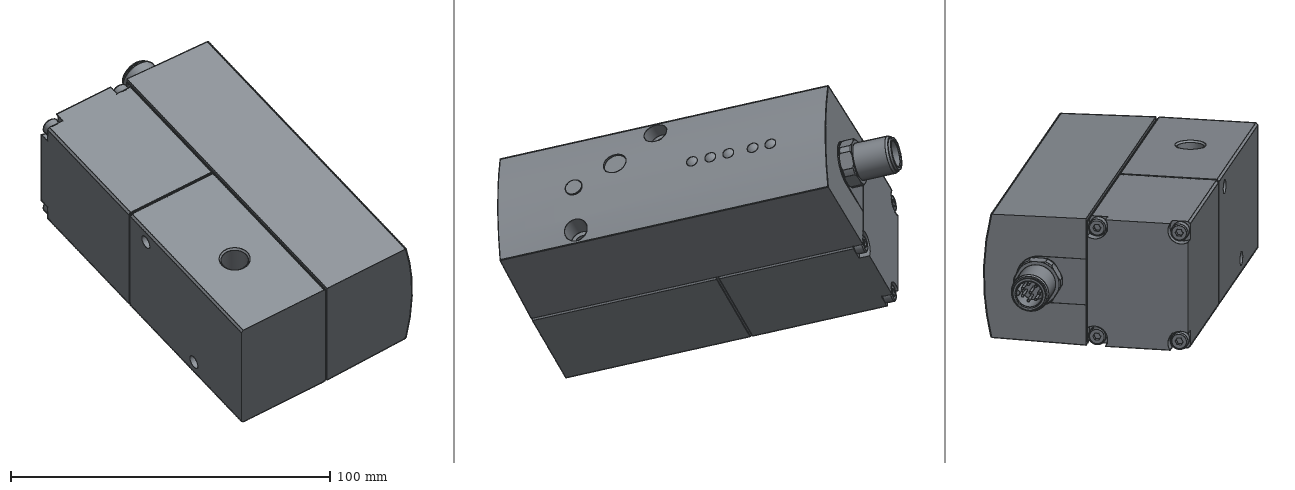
import cadquery as cq
import math

OVERALL_LENGTH = 126.9
BODY_LENGTH = 110.4
BODY_HEIGHT = 41.5
BLOCK_DEPTH = 32.2
BLOCK_EDGE_CHAMFER = 0.7
HALF_HEIGHT = BODY_HEIGHT / 2

JOINT_X = 48.3
JOINT_WIDTH = 0.8
JOINT_DEPTH = 0.5

COVER_START_Y = 32.6
COVER_JOINT_INSET = 0.4
COVER_DRAFT = 1.0
CROWN_EDGE_Y = 63.0
CROWN_TOP_Y = 65.55
CROWN_MARGIN = 1.0
FOIL_THICKNESS = 0.3
FOIL_INSET = 0.1

SCREW_INSET = 2.95
SCREW_HEAD_DIAMETER = 5.5
SCREW_HEAD_CHAMFER = 0.4
SCREW_HEAD_SETBACK = 0.4
SCREW_SOCKET_WIDTH = 2.5
SCREW_SOCKET_DEPTH = 1.5
SCREW_POCKET_DIAMETER = 8.3
SCREW_POCKET_INSET = 2.3
SCREW_POCKET_DEPTH = 3.5

MOUNT_HOLES = [(57.7, 15.75), (84.2, -15.75)]
MOUNT_DIAMETER = 4.4
MOUNT_COUNTERBORE_DIAMETER = 7.5
MOUNT_COUNTERBORE_FLOOR_Y = 58.0

PORT_X = 83.4
PORT_Y = 16.1
PORT_DIAMETER = 8.57
PORT_MOUTH_DIAMETER = 9.73
PORT_DEPTH = 12.0

LAMP_X = [18.9, 24.8, 32.9, 38.9, 45.0]
LAMP_DIAMETER = 3.6
LAMP_TOP_Y = 66.18
DISPLAY_ROOT_DEPTH = 1.0
DISPLAY_ROOT_Y = CROWN_TOP_Y - DISPLAY_ROOT_DEPTH
BUTTON_X = 84.3
BUTTON_DIAMETER = 5.5
BUTTON_TOP_Y = 66.0
DIMPLE_X = 70.8
DIMPLE_Z = 6.3
DIMPLE_DIAMETER = 7.5
DIMPLE_DEPTH = 1.2

CONNECTOR_Y = 47.5
CONNECTOR_LENGTH = OVERALL_LENGTH - BODY_LENGTH
SEAT_WIDTH = 15.0
SEAT_THICKNESS = 2.0
NUT_LENGTH = 4.2
NUT_ACROSS_FLATS = 14.0
NUT_DIAMETER = 15.0
NUT_CHAMFER = 0.4
BARREL_DIAMETER = 12.0
TIP_DIAMETER = 10.4
TIP_LENGTH = 0.8
TIP_CONE_LENGTH = 0.8
TIP_CONE_END_DIAMETER = 11.3
SOCKET_DIAMETER = 8.3
SOCKET_CHAMFER = 0.3
SOCKET_DEPTH = 8.0
KEY_DIAMETER = 2.0
KEY_SETBACK = 1.0
PIN_DIAMETER = 0.8
PIN_CIRCLE_DIAMETER = 5.5
PIN_COUNT = 7
PIN_SETBACK = 2.0


def bar_x(y, z, diameter, x_start, x_end):
    """Cylinder along X."""
    plane = cq.Workplane("YZ", origin=(x_start, y, z))
    return plane.circle(diameter / 2).extrude(x_end - x_start)


def bar_y(x, z, diameter, y_start, y_end):
    """Cylinder along Y."""
    solid = cq.Solid.makeCylinder(
        diameter / 2, y_end - y_start, cq.Vector(x, y_start, z), cq.Vector(0, 1, 0)
    )
    return cq.Workplane("XY").newObject([solid])


def make_block():
    block = cq.Workplane("XY").box(
        BODY_LENGTH, BLOCK_DEPTH, BODY_HEIGHT, centered=(False, False, True)
    )
    block = block.edges("|X").chamfer(BLOCK_EDGE_CHAMFER)
    outer = cq.Workplane("XY", origin=(JOINT_X, 0, 0)).box(
        JOINT_WIDTH, BLOCK_DEPTH, BODY_HEIGHT, centered=(False, False, True)
    )
    core = cq.Workplane("XY", origin=(JOINT_X, JOINT_DEPTH, 0)).box(
        JOINT_WIDTH,
        BLOCK_DEPTH - JOINT_DEPTH,
        BODY_HEIGHT - 2 * JOINT_DEPTH,
        centered=(False, False, True),
    )
    return block.cut(outer.cut(core))


def drafted_block(start_y, inset):
    """Cover envelope between start_y and past the crest, narrowed all round by inset."""
    lost = 2 * (inset + (start_y - BLOCK_DEPTH) * math.tan(math.radians(COVER_DRAFT)))
    return (
        cq.Workplane("XZ", origin=(BODY_LENGTH / 2, start_y, 0))
        .rect(BODY_LENGTH - lost, BODY_HEIGHT - lost)
        .extrude(start_y - CROWN_TOP_Y - CROWN_MARGIN, taper=COVER_DRAFT)
    )


def crowned_prism(drop):
    """Full-length prism under the crowned back, lowered by drop."""
    edge_y = CROWN_EDGE_Y - drop
    return (
        cq.Workplane("YZ")
        .moveTo(0, -HALF_HEIGHT)
        .lineTo(edge_y, -HALF_HEIGHT)
        .threePointArc((CROWN_TOP_Y - drop, 0), (edge_y, HALF_HEIGHT))
        .lineTo(0, HALF_HEIGHT)
        .close()
        .extrude(BODY_LENGTH)
    )


def make_cover():
    shell = drafted_block(COVER_START_Y, 0).intersect(crowned_prism(FOIL_THICKNESS))
    foil = drafted_block(COVER_START_Y, FOIL_INSET).intersect(crowned_prism(0))
    joint = cq.Workplane("XY", origin=(COVER_JOINT_INSET, BLOCK_DEPTH, 0)).box(
        BODY_LENGTH - 2 * COVER_JOINT_INSET,
        COVER_START_Y - BLOCK_DEPTH,
        BODY_HEIGHT - 2 * COVER_JOINT_INSET - 2 * BLOCK_EDGE_CHAMFER,
        centered=(False, False, True),
    )
    return shell.union(foil).union(joint)


def make_connector_seat():
    """Flat pad at X = 0, round at the connector end, on the drafted cover end."""
    length = CONNECTOR_Y - COVER_START_Y
    strip = cq.Workplane("XY", origin=(0, COVER_START_Y, 0)).box(
        SEAT_THICKNESS, length, SEAT_WIDTH, centered=(False, False, True)
    )
    return strip.union(bar_x(CONNECTOR_Y, 0, SEAT_WIDTH, 0, SEAT_THICKNESS))


def block_corner(side_y, side_z, inset):
    """(Y, Z) of a point set in from one corner of the block's end face."""
    y = BLOCK_DEPTH / 2 + side_y * (BLOCK_DEPTH / 2 - inset)
    return y, side_z * (HALF_HEIGHT - inset)


def add_screws(body):
    block_zone = cq.Workplane("XY").box(
        SCREW_POCKET_DEPTH, BLOCK_DEPTH, BODY_HEIGHT, centered=(False, False, True)
    )
    for side_y in (-1, 1):
        for side_z in (-1, 1):
            pocket_y, pocket_z = block_corner(side_y, side_z, SCREW_POCKET_INSET)
            pocket = bar_x(pocket_y, pocket_z, SCREW_POCKET_DIAMETER, 0, SCREW_POCKET_DEPTH)
            body = body.cut(pocket.intersect(block_zone))

            screw_y, screw_z = block_corner(side_y, side_z, SCREW_INSET)
            head = bar_x(
                screw_y, screw_z, SCREW_HEAD_DIAMETER, SCREW_HEAD_SETBACK, SCREW_POCKET_DEPTH
            )
            head = head.faces("<X").chamfer(SCREW_HEAD_CHAMFER)
            socket = (
                cq.Workplane("YZ", origin=(SCREW_HEAD_SETBACK, screw_y, screw_z))
                .polygon(6, SCREW_SOCKET_WIDTH)
                .extrude(SCREW_SOCKET_DEPTH)
            )
            body = body.union(head.cut(socket))
    return body


def cut_mount_holes(body):
    for x, z in MOUNT_HOLES:
        body = body.cut(bar_y(x, z, MOUNT_DIAMETER, 0, CROWN_TOP_Y))
        body = body.cut(
            bar_y(x, z, MOUNT_COUNTERBORE_DIAMETER, MOUNT_COUNTERBORE_FLOOR_Y, CROWN_TOP_Y)
        )
    return body


def cut_port(body):
    chamfer = (PORT_MOUTH_DIAMETER - PORT_DIAMETER) / 2
    port = (
        cq.Workplane("XY", origin=(PORT_X, PORT_Y, HALF_HEIGHT))
        .circle(PORT_DIAMETER / 2)
        .extrude(-PORT_DEPTH)
    )
    mouth = (
        cq.Workplane("XY", origin=(PORT_X, PORT_Y, HALF_HEIGHT))
        .circle(PORT_MOUTH_DIAMETER / 2)
        .extrude(-chamfer, taper=45)
    )
    return body.cut(port).cut(mouth)


def dome_radius():
    rise = LAMP_TOP_Y - CROWN_TOP_Y
    return ((LAMP_DIAMETER / 2) ** 2 + rise ** 2) / (2 * rise)


def make_lamp(x):
    """Domed lamp lens standing on the crest."""
    return (
        cq.Workplane("XY", origin=(x, 0, 0))
        .moveTo(0, DISPLAY_ROOT_Y)
        .lineTo(LAMP_DIAMETER / 2, DISPLAY_ROOT_Y)
        .lineTo(LAMP_DIAMETER / 2, CROWN_TOP_Y)
        .radiusArc((0, LAMP_TOP_Y), -dome_radius())
        .close()
        .revolve(360, (0, 0, 0), (0, 1, 0))
    )


def make_connector():
    nut = (
        cq.Workplane("YZ", origin=(-NUT_LENGTH, CONNECTOR_Y, 0))
        .polygon(6, NUT_ACROSS_FLATS / math.cos(math.pi / 6))
        .extrude(NUT_LENGTH)
    )
    turned = bar_x(CONNECTOR_Y, 0, NUT_DIAMETER, -NUT_LENGTH, 0)
    nut = nut.intersect(turned.faces("<X or >X").chamfer(NUT_CHAMFER))

    tip_x = -CONNECTOR_LENGTH
    cone_end_x = tip_x + TIP_LENGTH
    cone_start_x = cone_end_x + TIP_CONE_LENGTH
    barrel = (
        cq.Workplane("XY", origin=(0, CONNECTOR_Y, 0))
        .lineTo(0, BARREL_DIAMETER / 2)
        .lineTo(cone_start_x, BARREL_DIAMETER / 2)
        .lineTo(cone_end_x, TIP_CONE_END_DIAMETER / 2)
        .lineTo(cone_end_x, TIP_DIAMETER / 2)
        .lineTo(tip_x, TIP_DIAMETER / 2)
        .lineTo(tip_x, 0)
        .close()
        .revolve(360, (0, 0, 0), (1, 0, 0))
    )
    floor_x = tip_x + SOCKET_DEPTH
    socket = bar_x(CONNECTOR_Y, 0, SOCKET_DIAMETER, tip_x, floor_x)
    key = bar_x(
        CONNECTOR_Y + SOCKET_DIAMETER / 2, 0, KEY_DIAMETER, tip_x + KEY_SETBACK, floor_x
    )
    mouth = (
        cq.Workplane("YZ", origin=(tip_x, CONNECTOR_Y, 0))
        .circle(SOCKET_DIAMETER / 2 + SOCKET_CHAMFER)
        .extrude(SOCKET_CHAMFER, taper=45)
    )
    connector = nut.union(barrel).cut(socket.cut(key)).cut(mouth)

    def pin(y, z):
        return bar_x(y, z, PIN_DIAMETER, tip_x + PIN_SETBACK, floor_x)

    connector = connector.union(pin(CONNECTOR_Y, 0))
    for i in range(PIN_COUNT):
        angle = 2 * math.pi * i / PIN_COUNT
        pin_y = CONNECTOR_Y - PIN_CIRCLE_DIAMETER / 2 * math.cos(angle)
        pin_z = PIN_CIRCLE_DIAMETER / 2 * math.sin(angle)
        connector = connector.union(pin(pin_y, pin_z))
    return connector


result = make_block().union(make_cover()).union(make_connector_seat())
result = add_screws(result)
result = cut_mount_holes(result)
result = cut_port(result)
dimple_floor_y = CROWN_TOP_Y - DIMPLE_DEPTH
result = result.cut(bar_y(DIMPLE_X, DIMPLE_Z, DIMPLE_DIAMETER, dimple_floor_y, CROWN_TOP_Y))
result = result.union(bar_y(BUTTON_X, 0, BUTTON_DIAMETER, DISPLAY_ROOT_Y, BUTTON_TOP_Y))
for lamp_x in LAMP_X:
    result = result.union(make_lamp(lamp_x))
result = result.union(make_connector())